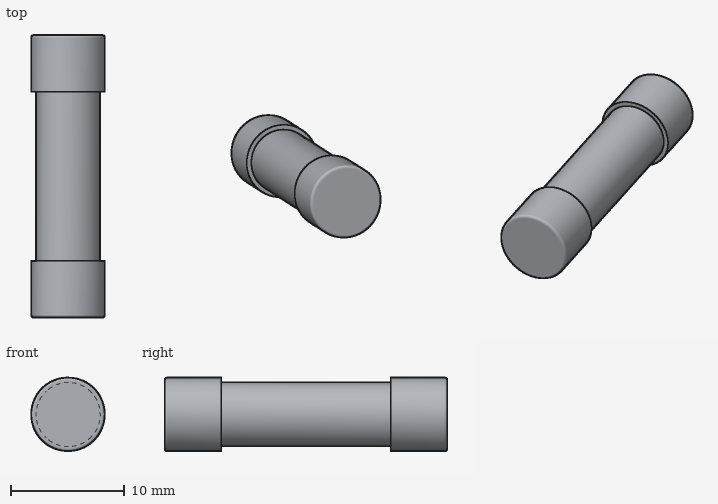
import cadquery as cq

total_length = 24.92
cap_diameter = 6.5
cap_length = 5.0
cap_edge_radius = 0.25
tube_diameter = 5.65
tube_length = total_length - 2 * cap_length


def make_tube():
    """Plain cylinder that fills the space between the two caps."""
    return (
        cq.Workplane("XZ", origin=(0, tube_length / 2, 0))
        .circle(tube_diameter / 2)
        .extrude(tube_length)
    )


def make_end_cap(side):
    """Cap at the -Y end (side = -1) or the +Y end (side = 1), rounded on its outer rim."""
    outward_face = "<Y" if side < 0 else ">Y"
    return (
        cq.Workplane("XZ", origin=(0, side * tube_length / 2, 0))
        .circle(cap_diameter / 2)
        .extrude(-side * cap_length)
        .faces(outward_face)
        .edges()
        .fillet(cap_edge_radius)
    )


tube = make_tube()
end_caps = [make_end_cap(side) for side in (-1, 1)]

result = cq.Compound.makeCompound([tube.val(), *[cap.val() for cap in end_caps]])